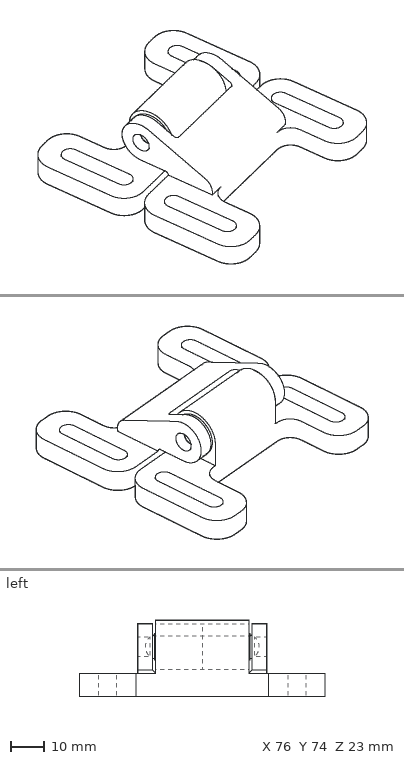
import cadquery as cq
import math

leaf_gap = 2.0
leaf_width = 37.0
leaf_length = 74.0
leaf_thickness = 7.0
arm_width = 17.0
waist_width = 16.0
arm_corner_radius = 7.0
waist_fillet_radius = 5.0

slot_length = 25.1
slot_width = 5.5
slot_outer_margin = 6.6

overall_height = 23.0
knuckle_radius = waist_width / 2
axis_height = overall_height - knuckle_radius
knuckle_length = 28.2
ear_radius = 7.0
ear_hole_diameter = 6.0
ears_outer_length = 39.0
ears_inner_length = 29.95
hood_slope = 24.0
hood_edge_radius = 4.4
opening_corner_radius = 1.0

pin_body_diameter = 13.7
pin_collar_diameter = 8.0
pin_collar_height = 0.2
pin_nose_radius = 3.8
pin_nose_setback = 0.75

inner_edge = leaf_gap / 2
outer_edge = inner_edge + leaf_width
waist_edge = inner_edge + waist_width
axis_x = -(inner_edge + knuckle_radius)
pin_body_radius = pin_body_diameter / 2
pin_collar_radius = pin_collar_diameter / 2
sides = (-1, 1)


def cylinder_along_y(radius, length):
    """Cylinder on the hinge axis, centred on Y = 0."""
    return (
        cq.Workplane("XZ", origin=(axis_x, length / 2, axis_height))
        .circle(radius)
        .extrude(length)
    )


def leaf_plate(side):
    """Slotted plate with two arms, on the -X (side = -1) or +X (side = 1) half."""
    notch_depth = leaf_width - waist_width
    notch_length = leaf_length - 2 * arm_width
    plate = (
        cq.Workplane("XY")
        .center(side * (inner_edge + leaf_width / 2), 0)
        .rect(leaf_width, leaf_length)
        .extrude(leaf_thickness)
        .edges("|Z")
        .fillet(arm_corner_radius)
    )
    notch = (
        cq.Workplane("XY")
        .center(side * (waist_edge + notch_depth / 2), 0)
        .rect(notch_depth, notch_length)
        .extrude(leaf_thickness)
    )
    plate = plate.cut(notch)

    for edge_x, radius in ((outer_edge, arm_corner_radius), (waist_edge, waist_fillet_radius)):
        for end in sides:
            corner = (side * edge_x, end * notch_length / 2, leaf_thickness / 2)
            plate = plate.edges(cq.selectors.NearestToPointSelector(corner)).fillet(radius)

    slot_x = side * (outer_edge - slot_outer_margin - slot_length / 2)
    slot_y = (leaf_length - arm_width) / 2
    slots = (
        cq.Workplane("XY")
        .pushPoints([(slot_x, -slot_y), (slot_x, slot_y)])
        .slot2D(slot_length, slot_width)
        .extrude(leaf_thickness)
    )
    return plate.cut(slots)


def pin(side):
    """Pin reaching from Y = 0 to its spherical nose at the -Y (side = -1) or +Y (side = 1) ear."""
    face = knuckle_length / 2
    collar_end = face + pin_collar_height
    nose_centre = face - pin_nose_setback
    nose_tip = nose_centre + pin_nose_radius
    nose_base_angle = math.acos((collar_end - nose_centre) / pin_nose_radius)
    nose_base = pin_nose_radius * math.sin(nose_base_angle)
    nose_mid = (
        pin_nose_radius * math.sin(nose_base_angle / 2),
        nose_centre + pin_nose_radius * math.cos(nose_base_angle / 2),
    )
    body = (
        cq.Workplane("XY")
        .lineTo(pin_body_radius, 0)
        .lineTo(pin_body_radius, face)
        .lineTo(pin_collar_radius, face)
        .lineTo(pin_collar_radius, collar_end)
        .lineTo(nose_base, collar_end)
        .threePointArc(nose_mid, (0, nose_tip))
        .close()
        .revolve(360, (0, 0, 0), (0, 1, 0))
    )
    if side < 0:
        body = body.mirror("XZ")
    return body.translate((axis_x, 0, axis_height))


def knuckle_leaf():
    """Leaf on the -X side with the knuckle standing on its inner edge."""
    web = (
        cq.Workplane("XY")
        .center(axis_x, 0)
        .rect(2 * knuckle_radius, knuckle_length)
        .extrude(axis_height)
    )
    barrel = cylinder_along_y(knuckle_radius, knuckle_length)
    return leaf_plate(-1).union(web).union(barrel)


def hood():
    """Sloping block on the +X leaf that reaches over the gap as two ears."""
    slope = math.radians(hood_slope)
    tangent_x = axis_x + ear_radius * math.sin(slope)
    tangent_z = axis_height + ear_radius * math.cos(slope)
    edge_z = tangent_z - (waist_edge - tangent_x) * math.tan(slope)
    ear_bottom = axis_height - ear_radius
    root_radius = ear_bottom - leaf_thickness
    root_start = inner_edge - root_radius
    root_mid = (
        root_start + root_radius * math.sqrt(0.5),
        leaf_thickness + root_radius * math.sqrt(0.5),
    )
    block = (
        cq.Workplane("XZ", origin=(0, ears_outer_length / 2, 0))
        .moveTo(axis_x, ear_bottom)
        .lineTo(root_start, ear_bottom)
        .threePointArc(root_mid, (inner_edge, leaf_thickness))
        .lineTo(waist_edge, leaf_thickness)
        .lineTo(waist_edge, edge_z)
        .lineTo(tangent_x, tangent_z)
        .threePointArc((axis_x - ear_radius, axis_height), (axis_x, ear_bottom))
        .close()
        .extrude(ears_outer_length)
    )
    outer_ridge = cq.selectors.NearestToPointSelector((waist_edge, 0, edge_z))
    block = block.edges("|Y").edges(outer_ridge).fillet(hood_edge_radius)
    opening_start = axis_x - 2 * ear_radius
    opening_width = inner_edge - opening_start
    opening = (
        cq.Workplane("XY")
        .center(opening_start + opening_width / 2, 0)
        .rect(opening_width, ears_inner_length)
        .extrude(axis_height + 2 * ear_radius)
        .edges("|Z and >X")
        .fillet(opening_corner_radius)
    )
    return block.cut(opening)


def ear_leaf():
    """Leaf on the +X side with the hood and its two bored ears."""
    bore = cylinder_along_y(ear_hole_diameter / 2, ears_outer_length)
    return leaf_plate(1).union(hood()).cut(bore)


pins = [pin(side) for side in sides]
knuckle_side = knuckle_leaf()
ear_side = ear_leaf()
for domed_pin in pins:
    knuckle_side = knuckle_side.cut(domed_pin)
    ear_side = ear_side.cut(domed_pin)

result = cq.Compound.makeCompound([knuckle_side.val(), ear_side.val(), *[body.val() for body in pins]])